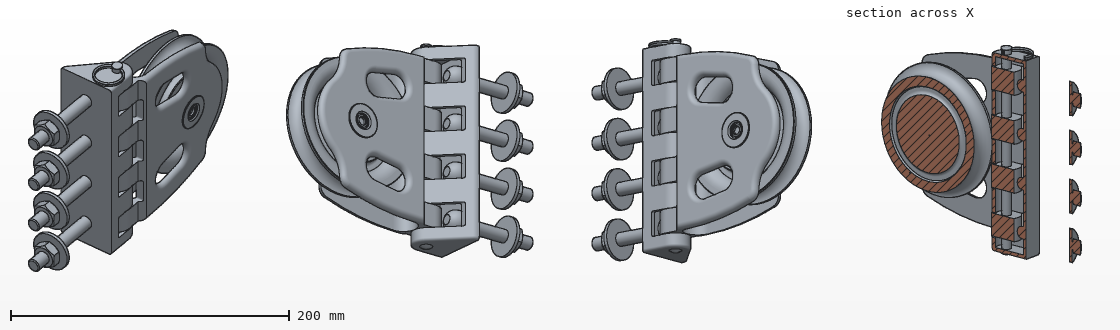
import cadquery as cq
import math


overall_length = 204.8

sheave_radius = 50.0
sheave_half_width = 10.0
groove_radius = 7.8
rim_inner_radius = 45.0
rim_chamfer = 0.5
rim_undercut_radius = 10.6
web_half_width = 2.5
hub_radius = 29.0
hub_half_width = 8.5
hub_chamfer = 0.6
hub_base_fillet = 2.9

axle_cap_diameter = 25.8
axle_cap_face = 16.4
axle_cap_chamfer = 0.5
axle_recess_diameter = 11.7
axle_recess_depth = 1.6
axle_recess_chamfer = 1.0
screw_socket_diameter = 6.0
screw_socket_chamfer = 0.6
screw_socket_depth = 3.0
screw_head_diameter = 9.5
screw_head_height = 0.8

cheek_inner = 10.9
cheek_outer = 15.5
cheek_edge_radius = 3.9
housing_half_height = 64.3
nose_radius = 37.7
nose_half_angle = math.radians(46.7)
scallop_radius = 25.8
shoulder_radius = 7.8
crown_start_y = -51.5
cheek_back_y = -55.5
window_radius = 9.5
window_front = (-14.5, 32.5)
window_back = (-32.8, 35.6)

hinge_y = -69.8
hinge_radius = 11.0
knuckle_count = 4
knuckle_pitch = 37.0
knuckle_height = 18.0
neck_y = -59.4
arch_bottom_y = -59.8
gap_floor_y = -57.0
gap_corner_radius = 1.5

bracket_left_x = -34.2
bracket_back_y = -91.5
bracket_half_height = 75.1
bracket_wall = 3.0
bracket_edge_radius = 2.0
bracket_bend_radius = 5.0
slot_clearance = 0.3
slot_back_y = -83.0
slot_corner_radius = 1.2

pin_diameter = 7.2
pin_head_diameter = 8.0
pin_head_height = 1.5
pin_head_edge_radius = 0.6
pin_top_z = 80.0
pin_rivet_diameter = 9.5
pin_bottom_z = -77.0
ring_radius = 10.6
ring_offset = 10.2
ring_wire_radius = 0.8
ring_coil_pitch = 1.5
ring_coils = 2
ring_gap = 0.2

bolt_x = (bracket_left_x + hinge_radius) / 2
bolt_diameter = 10.0
bolt_end_y = sheave_radius - overall_length
bolt_end_chamfer = 0.8
bolt_head_radius = 9.0
bolt_head_centre_y = -87.6
bolt_head_top_y = -79.5
washer_diameter = 30.0
washer_thickness = 2.7
washer_front_y = -131.7
nut_width = 17.5
nut_height = 8.0
nut_face_diameter = 16.0
nut_chamfer_angle = math.radians(30)

row_levels = [(i - (knuckle_count - 1) / 2) * knuckle_pitch for i in range(knuckle_count)]
through_width = 122.8


def centred_box(x_range, y_range, z_range):
    """Box given by its limits along the three axes."""
    limits = (x_range, y_range, z_range)
    sizes = [high - low for low, high in limits]
    centre = [(high + low) / 2 for low, high in limits]
    return cq.Workplane("XY").box(*sizes).translate(tuple(centre))


def disc_x(diameter, x_start, x_end):
    """Cylinder on the sheave axis between two X positions."""
    return cq.Workplane("YZ").workplane(offset=x_start).circle(diameter / 2).extrude(x_end - x_start)


def countersink_x(diameter, chamfer, face_x):
    """Cone on the sheave axis that breaks the rim of a hole opening toward +X at face_x."""
    mouth = cq.Workplane("YZ", origin=(face_x, 0, 0)).circle(diameter / 2 + chamfer)
    return mouth.workplane(offset=-chamfer).circle(diameter / 2).loft(ruled=True)


def disc_z(diameter, z_start, z_end):
    """Cylinder on the hinge axis between two Z positions."""
    plane = cq.Workplane("XY", origin=(0, hinge_y, z_start))
    return plane.circle(diameter / 2).extrude(z_end - z_start)


def revolve_y(profile):
    """Full turn of an XY half profile about the Y axis."""
    return profile.revolve(360, (0, 0, 0), (0, 1, 0))


def make_sheave():
    """Grooved wheel with undercut rims, a thin web and a hub filleted into it."""
    undercut_x = sheave_half_width - rim_undercut_radius
    web_angle = math.acos((web_half_width - undercut_x) / rim_undercut_radius)
    web_radius = rim_inner_radius - rim_undercut_radius * math.sin(web_angle)

    def fillet_point(side):
        inset = hub_base_fillet * (1 - math.sqrt(0.5))
        return side * (web_half_width + inset), hub_radius + inset

    def undercut_point(angle, side):
        x = undercut_x + rim_undercut_radius * math.cos(angle)
        return side * x, rim_inner_radius - rim_undercut_radius * math.sin(angle)

    profile = (
        cq.Workplane("XY")
        .moveTo(-hub_half_width, 0)
        .lineTo(-hub_half_width, hub_radius - hub_chamfer)
        .lineTo(-hub_half_width + hub_chamfer, hub_radius)
        .lineTo(-web_half_width - hub_base_fillet, hub_radius)
        .threePointArc(fillet_point(-1), (-web_half_width, hub_radius + hub_base_fillet))
        .lineTo(-web_half_width, web_radius)
        .threePointArc(undercut_point(web_angle / 2, -1), (-sheave_half_width, rim_inner_radius))
        .lineTo(-sheave_half_width, sheave_radius - rim_chamfer)
        .lineTo(-sheave_half_width + rim_chamfer, sheave_radius)
        .lineTo(-groove_radius, sheave_radius)
        .threePointArc((0, sheave_radius - groove_radius), (groove_radius, sheave_radius))
        .lineTo(sheave_half_width - rim_chamfer, sheave_radius)
        .lineTo(sheave_half_width, sheave_radius - rim_chamfer)
        .lineTo(sheave_half_width, rim_inner_radius)
        .threePointArc(undercut_point(web_angle / 2, 1), (web_half_width, web_radius))
        .lineTo(web_half_width, hub_radius + hub_base_fillet)
        .threePointArc(fillet_point(1), (web_half_width + hub_base_fillet, hub_radius))
        .lineTo(hub_half_width - hub_chamfer, hub_radius)
        .lineTo(hub_half_width, hub_radius - hub_chamfer)
        .lineTo(hub_half_width, 0)
        .close()
    )
    return profile.revolve(360, (0, 0, 0), (1, 0, 0))


def make_axle():
    """Plain axle whose chamfered end caps stand proud of the cheeks."""
    axle = disc_x(axle_cap_diameter, -axle_cap_face, axle_cap_face)
    return axle.faces("<X or >X").chamfer(axle_cap_chamfer)


def make_axle_recess():
    """Recess in the +X end of the axle, leaving the socketed head of a screw inside."""
    floor_x = axle_cap_face - axle_recess_depth
    head_x = floor_x + screw_head_height
    socket_floor_x = axle_cap_face - screw_socket_depth
    recess = disc_x(axle_recess_diameter, floor_x, axle_cap_face)
    recess = recess.cut(disc_x(screw_head_diameter, floor_x, head_x))
    recess = recess.union(disc_x(screw_socket_diameter, socket_floor_x, axle_cap_face))
    recess = recess.union(countersink_x(screw_socket_diameter, screw_socket_chamfer, head_x))
    return recess.union(countersink_x(axle_recess_diameter, axle_recess_chamfer, axle_cap_face))


def cheek_outline():
    """Cheek outline in YZ: round nose, scallops, rounded shoulders and crowned edges."""
    nose_y = nose_radius * math.cos(nose_half_angle)
    nose_z = nose_radius * math.sin(nose_half_angle)
    scallop_y = (nose_radius + scallop_radius) * math.cos(nose_half_angle)
    scallop_z = (nose_radius + scallop_radius) * math.sin(nose_half_angle)
    scallop_mid_angle = nose_half_angle / 2
    scallop_mid_y = scallop_y - scallop_radius * math.cos(scallop_mid_angle)
    scallop_mid_z = scallop_z - scallop_radius * math.sin(scallop_mid_angle)
    shoulder_y = scallop_y - scallop_radius - shoulder_radius
    reach = shoulder_y - crown_start_y
    rise = housing_half_height - scallop_z
    crown_radius = (reach**2 + rise**2 - shoulder_radius**2) / (2 * (rise - shoulder_radius))
    crown_z = housing_half_height - crown_radius
    crown_angle = math.asin(reach / (crown_radius - shoulder_radius))

    def crown_point(angle):
        return crown_start_y + crown_radius * math.sin(angle), crown_z + crown_radius * math.cos(angle)

    shoulder_angle = (math.pi / 2 + crown_angle) / 2
    shoulder_mid_y = shoulder_y + shoulder_radius * math.sin(shoulder_angle)
    shoulder_mid_z = scallop_z + shoulder_radius * math.cos(shoulder_angle)
    crown_end_y, crown_end_z = crown_point(crown_angle)
    crown_mid_y, crown_mid_z = crown_point(crown_angle / 2)
    return (
        cq.Workplane("YZ")
        .moveTo(cheek_back_y, -housing_half_height)
        .lineTo(crown_start_y, -housing_half_height)
        .threePointArc((crown_mid_y, -crown_mid_z), (crown_end_y, -crown_end_z))
        .threePointArc((shoulder_mid_y, -shoulder_mid_z), (shoulder_y + shoulder_radius, -scallop_z))
        .threePointArc((scallop_mid_y, -scallop_mid_z), (nose_y, -nose_z))
        .threePointArc((nose_radius, 0), (nose_y, nose_z))
        .threePointArc((scallop_mid_y, scallop_mid_z), (shoulder_y + shoulder_radius, scallop_z))
        .threePointArc((shoulder_mid_y, shoulder_mid_z), (crown_end_y, crown_end_z))
        .threePointArc((crown_mid_y, crown_mid_z), (crown_start_y, housing_half_height))
        .lineTo(cheek_back_y, housing_half_height)
        .close()
    )


def make_cheek():
    """Cheek on the +X side with two slanted windows and rolled outer edges."""
    cheek = cheek_outline().extrude(cheek_outer - cheek_inner).translate((cheek_inner, 0, 0))
    slot_run = window_back[0] - window_front[0]
    slot_rise = window_back[1] - window_front[1]
    window = (
        cq.Workplane("YZ")
        .center((window_front[0] + window_back[0]) / 2, (window_front[1] + window_back[1]) / 2)
        .slot2D(
            math.hypot(slot_run, slot_rise) + 2 * window_radius,
            2 * window_radius,
            math.degrees(math.atan2(slot_rise, slot_run)),
        )
        .extrude(through_width)
    )
    cheek = cheek.cut(window).cut(window.mirror("XY"))
    rolled_edges = cheek.faces(">X").edges("not(<Y)")
    return cheek.newObject(rolled_edges.vals()).fillet(cheek_edge_radius)


def make_hinge_leaf():
    """Block behind the sheave that joins the cheeks and carries the hinge knuckles."""
    arch_centre_y = arch_bottom_y + cheek_inner
    leaf = (
        cq.Workplane("XY")
        .workplane(offset=-housing_half_height)
        .moveTo(-cheek_inner, arch_centre_y)
        .threePointArc((0, arch_bottom_y), (cheek_inner, arch_centre_y))
        .lineTo(cheek_inner, cheek_back_y)
        .lineTo(cheek_outer, cheek_back_y)
        .lineTo(hinge_radius, neck_y)
        .lineTo(hinge_radius, hinge_y)
        .threePointArc((0, hinge_y - hinge_radius), (-hinge_radius, hinge_y))
        .lineTo(-hinge_radius, neck_y)
        .lineTo(-cheek_outer, cheek_back_y)
        .lineTo(-cheek_inner, cheek_back_y)
        .close()
        .extrude(2 * housing_half_height)
    )
    envelope = centred_box(
        (-cheek_outer, cheek_outer),
        (hinge_y - hinge_radius, 0),
        (-housing_half_height, housing_half_height),
    )
    leaf = leaf.intersect(envelope.edges("|Y").fillet(cheek_edge_radius))
    for lower, upper in zip(row_levels, row_levels[1:]):
        gap = centred_box(
            (-through_width, through_width),
            (bracket_back_y, gap_floor_y),
            (lower + knuckle_height / 2, upper - knuckle_height / 2),
        )
        leaf = leaf.cut(gap.edges("|X and >Y").fillet(gap_corner_radius))
    return leaf


def make_bracket():
    """Hollow bracket with a 45 degree side, slotted where the knuckles enter."""
    tangent_offset = hinge_radius * math.sqrt(0.5)
    tangent_y = hinge_y + tangent_offset
    slope_end_y = tangent_y - (-tangent_offset - bracket_left_x)
    crest_angle = math.radians(135 / 2)
    crest = (hinge_radius * math.cos(crest_angle), hinge_y + hinge_radius * math.sin(crest_angle))
    body = (
        cq.Workplane("XY")
        .workplane(offset=-bracket_half_height)
        .moveTo(bracket_left_x, bracket_back_y)
        .lineTo(hinge_radius, bracket_back_y)
        .lineTo(hinge_radius, hinge_y)
        .threePointArc(crest, (-tangent_offset, tangent_y))
        .lineTo(bracket_left_x, slope_end_y)
        .close()
        .extrude(2 * bracket_half_height)
    )
    bend = cq.selectors.NearestToPointSelector((bracket_left_x, slope_end_y, 0))
    body = body.edges(bend).fillet(bracket_bend_radius)
    cavity = (
        body.faces("<Z")
        .wires()
        .toPending()
        .offset2D(-bracket_wall)
        .extrude(2 * (bracket_half_height - bracket_wall), combine=False)
    )
    cavity = cavity.translate((0, 0, -cavity.val().Center().z))
    end_edges = body.faces("<Z or >Z").edges("not(<Y)")
    bracket = body.newObject(end_edges.vals()).fillet(bracket_edge_radius).cut(cavity)
    half_slot = knuckle_height / 2 + slot_clearance
    for level in row_levels:
        slot = centred_box(
            (-through_width, through_width),
            (slot_back_y, 0),
            (level - half_slot, level + half_slot),
        )
        bracket = bracket.cut(slot.edges("|X and <Y").fillet(slot_corner_radius))
    return bracket


def make_hinge_pin():
    """Hinge pin with a flat head on top, a domed rivet end below and a split ring."""
    head_z = pin_top_z - pin_head_height
    pin = disc_z(pin_diameter, -bracket_half_height, head_z)
    pin = pin.union(disc_z(pin_head_diameter, head_z, pin_top_z).edges().fillet(pin_head_edge_radius))
    rivet_height = -bracket_half_height - pin_bottom_z
    rivet = (
        cq.Workplane("XZ")
        .moveTo(0, pin_bottom_z)
        .threePointArc(
            (pin_rivet_diameter / 4, pin_bottom_z + rivet_height / 4),
            (pin_rivet_diameter / 2, -bracket_half_height),
        )
        .lineTo(0, -bracket_half_height)
        .close()
        .revolve(360, (0, 0, 0), (0, 1, 0))
        .translate((0, hinge_y, 0))
    )
    pin = pin.union(rivet)
    lowest_coil_z = bracket_half_height + ring_wire_radius + ring_gap
    for coil in range(ring_coils):
        centre = cq.Vector(0, hinge_y - ring_offset, lowest_coil_z + coil * ring_coil_pitch)
        pin = pin.union(cq.Workplane(cq.Solid.makeTorus(ring_radius, ring_wire_radius, centre)))
    return pin


def make_bolt():
    """Domed bolt along Y with its washer and nut, on the level Z = 0."""
    shank_radius = bolt_diameter / 2
    head_rise = bolt_head_top_y - bolt_head_centre_y
    head_flat_radius = math.sqrt(bolt_head_radius**2 - head_rise**2)
    dome_angle = math.asin(head_rise / bolt_head_radius) / 2
    dome_mid = (
        bolt_head_radius * math.cos(dome_angle),
        bolt_head_centre_y + bolt_head_radius * math.sin(dome_angle),
    )
    head_base_y = bracket_back_y + bracket_wall
    bolt = revolve_y(
        cq.Workplane("XY")
        .moveTo(0, bolt_end_y)
        .lineTo(shank_radius - bolt_end_chamfer, bolt_end_y)
        .lineTo(shank_radius, bolt_end_y + bolt_end_chamfer)
        .lineTo(shank_radius, head_base_y)
        .lineTo(bolt_head_radius, head_base_y)
        .lineTo(bolt_head_radius, bolt_head_centre_y)
        .threePointArc(dome_mid, (head_flat_radius, bolt_head_top_y))
        .lineTo(0, bolt_head_top_y)
        .close()
    )
    washer_plane = cq.Workplane("XZ", origin=(0, washer_front_y, 0))
    washer = washer_plane.circle(washer_diameter / 2).extrude(washer_thickness)

    nut_front_y = washer_front_y - washer_thickness
    corner_diameter = nut_width / math.cos(math.radians(30))
    nut = (
        cq.Workplane("XZ", origin=(0, nut_front_y, 0))
        .transformed(rotate=(0, 0, 90))
        .polygon(6, corner_diameter)
        .extrude(nut_height)
    )
    face_radius = nut_face_diameter / 2
    corner_radius = corner_diameter / 2
    chamfer_depth = (corner_radius - face_radius) * math.tan(nut_chamfer_angle)
    nut_end_y = nut_front_y - nut_height
    nut_envelope = revolve_y(
        cq.Workplane("XY")
        .moveTo(0, nut_end_y)
        .lineTo(face_radius, nut_end_y)
        .lineTo(corner_radius, nut_end_y + chamfer_depth)
        .lineTo(corner_radius, nut_front_y - chamfer_depth)
        .lineTo(face_radius, nut_front_y)
        .lineTo(0, nut_front_y)
        .close()
    )
    return bolt.union(washer).union(nut.intersect(nut_envelope))


cheek = make_cheek()
result = make_sheave().union(make_axle())
result = result.union(cheek).union(cheek.mirror("YZ"))
axle_recess = make_axle_recess()
result = result.cut(axle_recess).cut(axle_recess.mirror("YZ"))
result = result.union(make_hinge_leaf()).union(make_bracket()).union(make_hinge_pin())
bolt = make_bolt()
for level in row_levels:
    result = result.union(bolt.translate((bolt_x, 0, level)))